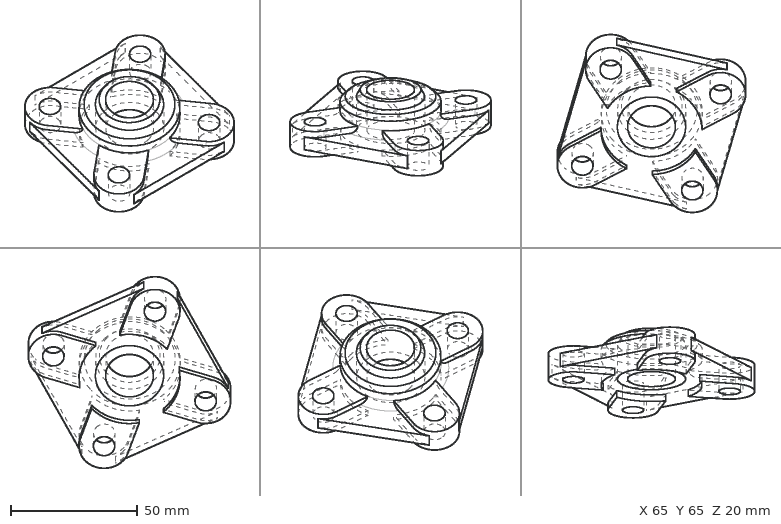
import cadquery as cq

plate_side = 65.0
plate_bottom = 2.7
plate_top = 8.25

bolt_offset = 22.5
lug_radius = 9.95
bolt_hole_diameter = 8.45
lug_height = 10.9

hub_radius = 20.0
hub_top = 17.1
hub_chamfer = 2.0
hub_fillet_radius = 3.0

insert_radius = 13.5
insert_nose_radius = 12.0
insert_top = 20.0
bore_diameter = 19.0


def make_plate():
    """Square plate whose corners are cut off inside the round lugs."""
    corner_cut = plate_side / 2 - bolt_offset
    return (
        cq.Workplane("XY", origin=(0, 0, plate_bottom))
        .rect(plate_side, plate_side)
        .extrude(plate_top - plate_bottom)
        .edges("|Z")
        .chamfer(corner_cut)
    )


def make_arms():
    """Two crossed slots along the diagonals form the four lugged arms."""
    bolt_span = 2 * bolt_offset * 2 ** 0.5
    slot_length = bolt_span + 2 * lug_radius
    first_arm, second_arm = [
        cq.Workplane("XY").slot2D(slot_length, 2 * lug_radius, angle).extrude(lug_height)
        for angle in (45, 135)
    ]
    return first_arm.union(second_arm)


def make_hub():
    """Chamfered round hub with a concave fillet where it rises from the plate."""
    fillet_outer = hub_radius + hub_fillet_radius
    fillet_top = plate_top + hub_fillet_radius
    arc_inset = hub_fillet_radius * (1 - 0.5 ** 0.5)
    return (
        cq.Workplane("XZ")
        .moveTo(0, plate_bottom)
        .lineTo(fillet_outer, plate_bottom)
        .lineTo(fillet_outer, plate_top)
        .threePointArc((hub_radius + arc_inset, plate_top + arc_inset), (hub_radius, fillet_top))
        .lineTo(hub_radius, hub_top - hub_chamfer)
        .lineTo(hub_radius - hub_chamfer, hub_top)
        .lineTo(0, hub_top)
        .close()
        .revolve(360, (0, 0, 0), (0, 1, 0))
    )


def make_housing():
    """Flanged housing with an underside recess, an insert seat and bolt holes."""
    underside_recess = cq.Workplane("XY").circle(hub_radius).extrude(plate_bottom)
    insert_seat = cq.Workplane("XY").circle(insert_radius).extrude(hub_top)
    bolt_holes = (
        cq.Workplane("XY")
        .rect(2 * bolt_offset, 2 * bolt_offset, forConstruction=True)
        .vertices()
        .circle(bolt_hole_diameter / 2)
        .extrude(lug_height)
    )
    blank = make_plate().union(make_arms()).union(make_hub())
    return blank.cut(underside_recess).cut(insert_seat).cut(bolt_holes)


def make_bearing_insert():
    """Bored insert with a tapered nose standing above the hub."""
    bore_radius = bore_diameter / 2
    return (
        cq.Workplane("XZ")
        .moveTo(bore_radius, plate_bottom)
        .lineTo(insert_radius, plate_bottom)
        .lineTo(insert_radius, hub_top)
        .lineTo(insert_nose_radius, insert_top)
        .lineTo(bore_radius, insert_top)
        .close()
        .revolve(360, (0, 0, 0), (0, 1, 0))
    )


housing = make_housing()
bearing_insert = make_bearing_insert()
result = cq.Compound.makeCompound([housing.val(), bearing_insert.val()])